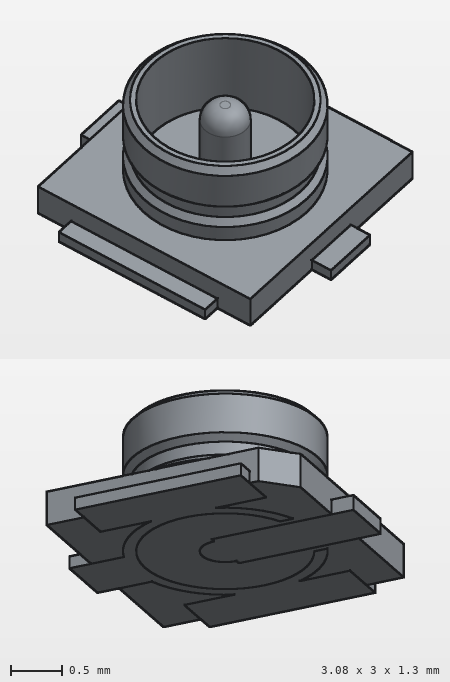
import cadquery as cq
import math


block_side = 2.61
block_height = 0.36
corner_cut = 0.308

shell_diameter = 2.0
groove_diameter = 1.86
bore_diameter = 1.74
shell_top = 1.3
groove_bottom = 0.607
groove_top = 0.745
shell_bevel = (shell_diameter - groove_diameter) / 2

span_x = 3.08
span_y = 3.0
ground_tab_height = 0.13
wide_tab_width = 1.8
narrow_tab_width = 0.628
tab_root = (shell_diameter + bore_diameter) / 4

pin_diameter = 0.5
pin_top = 1.232
pin_tip_diameter = 0.105
lead_width = 0.61
lead_height = 0.16

lead_clearance = 0.077


def box_between(x_range, y_range, z_range):
    """Box given by its lower and upper limits along X, Y and Z."""
    x_low, x_high = x_range
    y_low, y_high = y_range
    z_low, z_high = z_range
    box = cq.Workplane("XY").box(x_high - x_low, y_high - y_low, z_high - z_low, centered=False)
    return box.translate((x_low, y_low, z_low))


def make_shell():
    """Round shell with a bevelled rim and a snap groove, standing on the mounting plane."""
    outer = shell_diameter / 2
    groove = groove_diameter / 2
    bore = bore_diameter / 2
    profile = [
        (bore, 0),
        (outer, 0),
        (outer, groove_bottom - shell_bevel),
        (groove, groove_bottom),
        (groove, groove_top),
        (outer, groove_top + shell_bevel),
        (outer, shell_top - shell_bevel),
        (outer - shell_bevel, shell_top),
        (bore, shell_top),
    ]
    return cq.Workplane("XZ").polyline(profile).close().revolve(360, (0, 0), (0, 1))


def make_ground_tab(width, reach, angle):
    """Flat tab from the shell wall out to its tip, turned about Z from the +X direction."""
    tab = box_between((tab_root, reach), (-width / 2, width / 2), (0, ground_tab_height))
    return tab.rotate((0, 0, 0), (0, 0, 1), angle)


def make_ground_contact():
    """Shell and its three tabs, with an opening on the -X side for the signal lead."""
    opening_half = lead_width / 2 + lead_clearance
    opening = box_between(
        (-shell_diameter / 2, 0),
        (-opening_half, opening_half),
        (0, lead_height + lead_clearance),
    )
    contact = make_shell().cut(opening)
    for width, reach, angle in (
        (narrow_tab_width, span_x / 2, 0),
        (wide_tab_width, span_y / 2, 90),
        (wide_tab_width, span_y / 2, -90),
    ):
        contact = contact.union(make_ground_tab(width, reach, angle))
    return contact


def make_signal_contact():
    """Round-tipped pin standing on a flat lead that runs out to the -X side."""
    radius = pin_diameter / 2
    tip_radius = pin_tip_diameter / 2
    rounding = radius - tip_radius
    diagonal = rounding * math.sqrt(0.5)
    arc_middle = (tip_radius + diagonal, pin_top - rounding + diagonal)
    pin = (
        cq.Workplane("XZ")
        .lineTo(radius, 0)
        .lineTo(radius, pin_top - rounding)
        .threePointArc(arc_middle, (tip_radius, pin_top))
        .lineTo(0, pin_top)
        .close()
        .revolve(360, (0, 0), (0, 1))
    )
    lead = box_between((-span_x / 2, 0), (-lead_width / 2, lead_width / 2), (0, lead_height))
    return pin.union(lead)


def make_housing(ground_contact, signal_contact):
    """Square block with one cut corner, moulded around both contacts."""
    block = cq.Workplane("XY").box(block_side, block_side, block_height, centered=(True, True, False))
    block = block.edges("|Z").edges("<X").edges(">Y").chamfer(corner_cut)
    return block.cut(ground_contact).cut(signal_contact)


ground_contact = make_ground_contact()
signal_contact = make_signal_contact()
housing = make_housing(ground_contact, signal_contact)

result = cq.Compound.makeCompound(
    [housing.solids().val(), ground_contact.solids().val(), signal_contact.solids().val()]
)